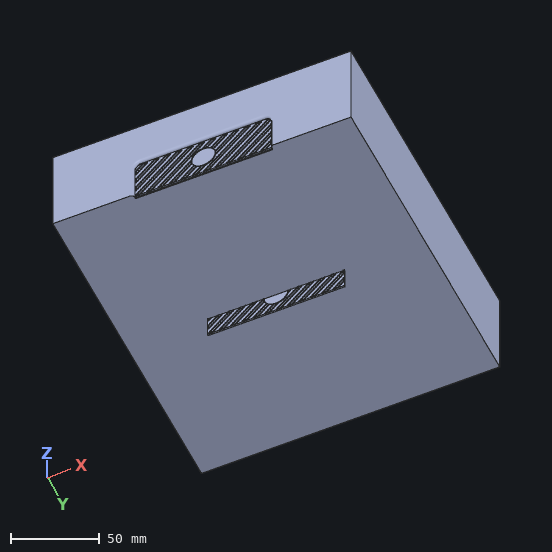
import cadquery as cq
import math

HOUSING_WIDTH = 185.0
HOUSING_LENGTH = 200.0
HOUSING_HEIGHT = 59.0

POCKET_WIDTH = 85.0
POCKET_HEIGHT = 28.0
CORNER_RADIUS = 5.0
MOUTH_FILLET = 2.0
PLATE_SETBACK = 2.0

PLATE_WIDTH = POCKET_WIDTH
PLATE_HEIGHT = 27.0
PLATE_THICKNESS = 1.0
GROOVE_WIDTH = 2.0
GROOVE_PITCH = 5.0
GROOVE_ANGLE = 45.0
GROOVE_DEPTH = 0.5
GROOVE_OFFSET = -0.25
GROOVE_MARGIN = 0.5

BADGE_RADIUS = 7.5

FRONT_Y = -HOUSING_LENGTH / 2
POCKET_DEPTH = PLATE_SETBACK + PLATE_THICKNESS

POCKET_PLATE_POSITION = (0, FRONT_Y + PLATE_SETBACK, POCKET_HEIGHT - PLATE_HEIGHT / 2)
HANGING_PLATE_POSITION = (0, -PLATE_THICKNESS / 2, 0)
PLATE_POSITIONS = [POCKET_PLATE_POSITION, HANGING_PLATE_POSITION]


def slab(width, bottom, top, depth):
    """Upright slab from Y = 0 to Y = depth."""
    block = cq.Workplane("XY").box(width, depth, top - bottom, centered=(True, False, False))
    return block.translate((0, 0, bottom))


def disc(radius, depth):
    """Disc about the Y axis from Y = 0 to Y = depth."""
    return cq.Workplane("XZ").circle(radius).extrude(-depth)


def plate_blank():
    """Plate without grooves, its front face centred on the origin."""
    return slab(PLATE_WIDTH, -PLATE_HEIGHT / 2, PLATE_HEIGHT / 2, PLATE_THICKNESS)


def grooves():
    """Diagonal strips, trimmed to the area inside the plain rim and outside the badge."""
    diagonal = math.hypot(PLATE_WIDTH, PLATE_HEIGHT)
    count_each_side = math.ceil(diagonal / 2 / GROOVE_PITCH)
    centres = [(0, GROOVE_OFFSET + i * GROOVE_PITCH) for i in range(-count_each_side, count_each_side + 1)]
    strips = (
        cq.Workplane("XZ")
        .pushPoints(centres)
        .rect(diagonal, GROOVE_WIDTH)
        .extrude(-GROOVE_DEPTH)
        .rotate((0, 0, 0), (0, 1, 0), -GROOVE_ANGLE)
    )
    top = PLATE_HEIGHT / 2 - GROOVE_MARGIN
    width = PLATE_WIDTH - 2 * GROOVE_MARGIN
    area = slab(width, -top, top, GROOVE_DEPTH)
    return strips.intersect(area.cut(disc(BADGE_RADIUS, GROOVE_DEPTH)))


def striped_plate():
    """Plate with diagonal grooves and a round recess for the badge."""
    return plate_blank().cut(grooves()).cut(disc(BADGE_RADIUS, GROOVE_DEPTH))


def badge():
    """Disc that fills the recess of a plate."""
    return disc(BADGE_RADIUS, GROOVE_DEPTH)


def pocket_cutter():
    """Pocket with round upper corners, open below the housing."""
    cutter = slab(POCKET_WIDTH, -HOUSING_HEIGHT, POCKET_HEIGHT, POCKET_DEPTH)
    return cutter.edges("|Y and >Z").fillet(CORNER_RADIUS).translate((0, FRONT_Y, 0))


def plate_seat_cutter():
    """Square-cornered seat at the back of the pocket that holds the plate, open below the housing."""
    cutter = slab(PLATE_WIDTH, -HOUSING_HEIGHT, POCKET_HEIGHT, PLATE_THICKNESS)
    return cutter.translate((0, FRONT_Y + PLATE_SETBACK, 0))


def in_pocket_mouth():
    """Selector for the edges of the pocket where it meets the front wall."""
    reach = MOUTH_FILLET / 2
    return cq.selectors.BoxSelector(
        (-POCKET_WIDTH / 2 - reach, FRONT_Y - reach, reach),
        (POCKET_WIDTH / 2 + reach, FRONT_Y + reach, POCKET_HEIGHT + reach),
    )


def housing():
    """Block with the front pocket and a slot underneath for the hanging plate."""
    block = cq.Workplane("XY").box(
        HOUSING_WIDTH, HOUSING_LENGTH, HOUSING_HEIGHT, centered=(True, True, False)
    )
    block = block.cut(pocket_cutter())
    block = block.edges(in_pocket_mouth()).fillet(MOUTH_FILLET)
    block = block.cut(plate_seat_cutter())
    return block.cut(plate_blank().translate(HANGING_PLATE_POSITION))


plates = [striped_plate().translate(position) for position in PLATE_POSITIONS]
badges = [badge().translate(position) for position in PLATE_POSITIONS]

result = cq.Compound.makeCompound(
    [
        housing().val(),
        *[plate.val() for plate in plates],
        *[plate_badge.val() for plate_badge in badges],
    ]
)